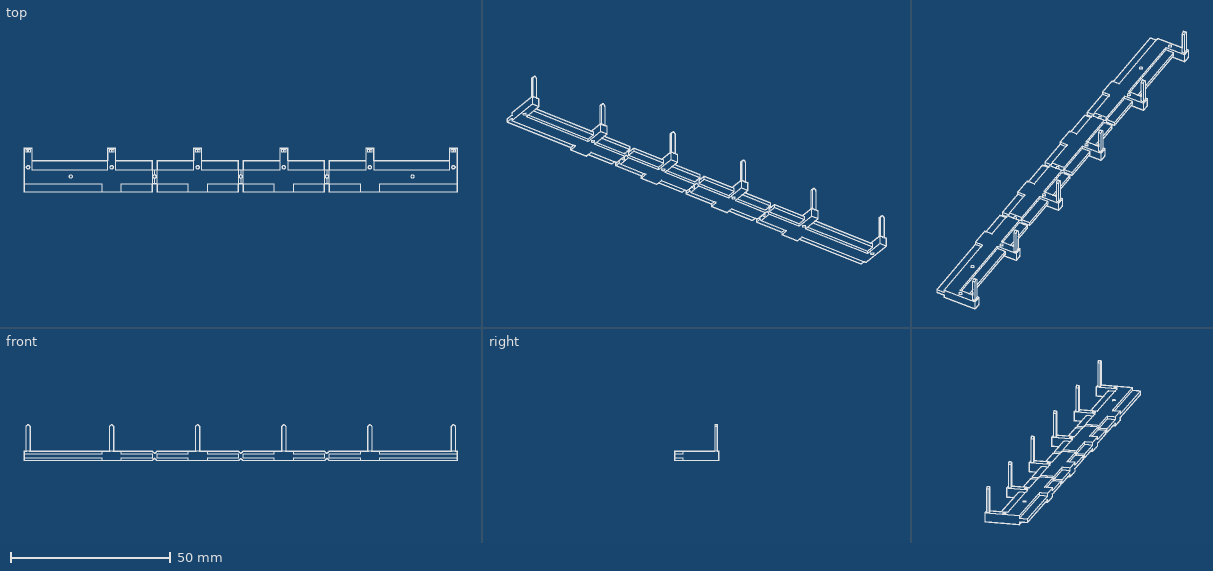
import cadquery as cq

total_length = 135.9
thickness = 3.0
pin_top = 11.35
gap = 1.5
segment_pitch = 27.0
segment_count = 4

core_front = 2.6
core_back = 7.0
plate_back = 9.85
arm_back = 13.8

tongue_thickness = 1.2
tab_width = 6.0
arm_width = 2.5

pin_width = 1.4
pin_depth = 0.8
pin_y = 13.0
pin_tip_chamfer = 0.6

hole_diameter = 1.0
arm_hole_y = 7.8
plate_hole_y = 4.9
plate_hole_left_x = 14.65
plate_hole_spacing = 107.2
plate_hole_depth = 1.5

groove_depth = gap / 2

middle_x = total_length / 2
tab_centers = [middle_x + (i - (segment_count - 1) / 2) * segment_pitch for i in range(segment_count)]
gap_centers = [x + segment_pitch / 2 for x in tab_centers[:-1]]
end_arm_centers = [arm_width / 2, total_length - arm_width / 2]
arm_centers = tab_centers + end_arm_centers


def block(x_range, y_range, z_range):
    """Box spanning the given (low, high) ranges."""
    lows, highs = zip(x_range, y_range, z_range)
    sizes = [high - low for low, high in zip(lows, highs)]
    return cq.Workplane("XY").box(*sizes, centered=False).translate(lows)


def centered_block(center_x, width, y_range, z_range):
    """Box centred on center_x along X."""
    return block((center_x - width / 2, center_x + width / 2), y_range, z_range)


def make_strip():
    """Full-thickness core with thin tongues along the front and back."""
    tongue_bottom = (thickness - tongue_thickness) / 2
    tongue_z = (tongue_bottom, tongue_bottom + tongue_thickness)
    core = block((0, total_length), (core_front, core_back), (0, thickness))
    tongue = block((0, total_length), (0, plate_back), tongue_z)
    return core.union(tongue)


def make_tab(center_x):
    """Full-thickness tab reaching the front edge."""
    return centered_block(center_x, tab_width, (0, core_back), (0, thickness))


def make_arm(center_x):
    """Arm reaching back past the rear tongue."""
    return centered_block(center_x, arm_width, (core_front, arm_back), (0, thickness))


def make_pin(center_x):
    """Rectangular pin whose tip is bevelled on its two X sides."""
    y_range = (pin_y - pin_depth / 2, pin_y + pin_depth / 2)
    pin = centered_block(center_x, pin_width, y_range, (0, pin_top))
    return pin.faces(">Z").edges("|Y").chamfer(pin_tip_chamfer)


def make_gap_slots(center_x):
    """Cutters that part the tongues, leaving only the core as a bridge."""
    front = centered_block(center_x, gap, (0, core_front), (0, thickness))
    back = centered_block(center_x, gap, (core_back, plate_back), (0, thickness))
    return front.union(back)


def make_bridge_grooves(center_x):
    """V-shaped cutters across the top and bottom of a bridge."""
    cutter = None
    for surface_z, apex_z in ((0, groove_depth), (thickness, thickness - groove_depth)):
        groove = (
            cq.Workplane("XZ", origin=(center_x, core_front, 0))
            .moveTo(-gap / 2, surface_z)
            .lineTo(gap / 2, surface_z)
            .lineTo(0, apex_z)
            .close()
            .extrude(core_front - core_back)
        )
        cutter = groove if cutter is None else cutter.union(groove)
    return cutter


def make_hole_cutters(points, bottom_z):
    """Cylinders reaching from bottom_z up to the top face."""
    return (
        cq.Workplane("XY", origin=(0, 0, bottom_z))
        .pushPoints(points)
        .circle(hole_diameter / 2)
        .extrude(thickness - bottom_z)
    )


def make_through_holes():
    """Holes through every arm and every bridge."""
    arm_points = [(x, arm_hole_y) for x in arm_centers]
    bridge_points = [(x, plate_hole_y) for x in gap_centers]
    return make_hole_cutters(arm_points + bridge_points, 0)


def make_blind_holes():
    """Blind holes in the top of the two end segments."""
    hole_centers = (plate_hole_left_x, plate_hole_left_x + plate_hole_spacing)
    points = [(x, plate_hole_y) for x in hole_centers]
    return make_hole_cutters(points, thickness - plate_hole_depth)


body = make_strip()
for x in tab_centers:
    body = body.union(make_tab(x))
for x in arm_centers:
    body = body.union(make_arm(x)).union(make_pin(x))
for x in gap_centers:
    body = body.cut(make_gap_slots(x)).cut(make_bridge_grooves(x))

result = body.cut(make_through_holes()).cut(make_blind_holes())